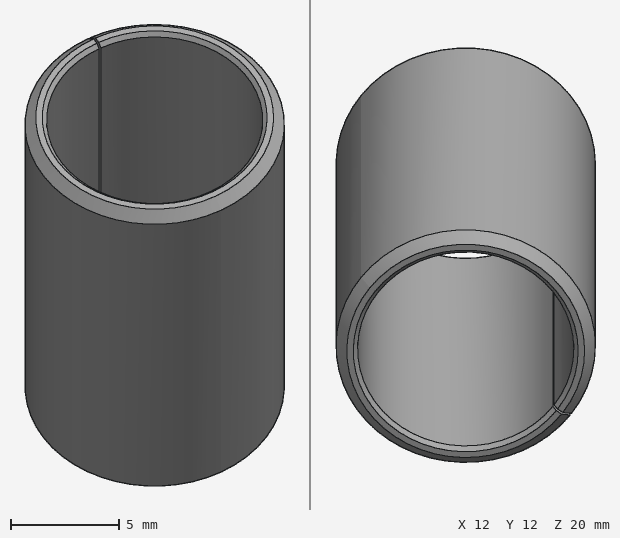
import cadquery as cq

length = 20.0
outer_diameter = 12.0
wall = 1.0
outer_chamfer = 0.5
inner_chamfer = 0.2
slit_width = 0.1

outer_radius = outer_diameter / 2
inner_radius = outer_radius - wall
half_length = length / 2


def chamfered_sleeve():
    """Tube with both rims of each end chamfered."""
    outer_body = cq.Workplane("XY").circle(outer_radius).extrude(length)
    outer_body = outer_body.faces("<Z or >Z").edges().chamfer(outer_chamfer)
    bore = cq.Workplane("XY").circle(inner_radius).extrude(length)
    sleeve = outer_body.cut(bore)
    bore_rims = cq.selectors.RadiusNthSelector(0)
    return sleeve.faces("<Z or >Z").edges(bore_rims).chamfer(inner_chamfer)


def slit():
    """Full-length cut through the wall on the -X side, lying just on the +Y side of the axis."""
    return (
        cq.Workplane("XY")
        .box(outer_radius, slit_width, length, centered=False)
        .translate((-outer_radius, 0, 0))
    )


result = chamfered_sleeve().cut(slit()).translate((0, 0, -half_length))